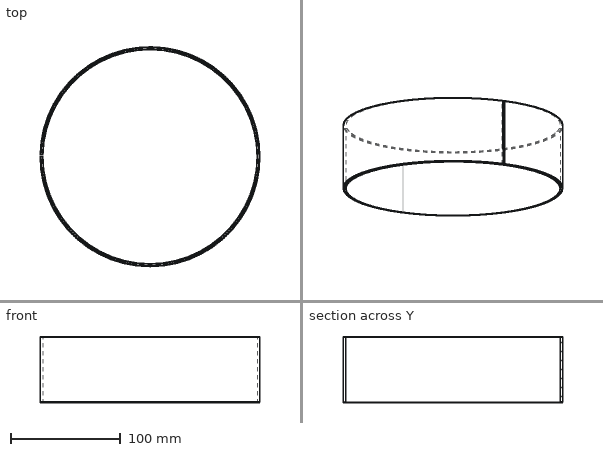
import cadquery as cq

outer_diameter = 200.0
height = 60.0
wall = 2.5
split_width = 1.5
edge_chamfer = 0.5

outer_radius = outer_diameter / 2
inner_radius = outer_radius - wall


def make_band():
    """Cylindrical band with its two outer rims chamfered."""
    outside = cq.Workplane("XY").circle(outer_radius).extrude(height)
    outside = outside.faces("<Z or >Z").edges().chamfer(edge_chamfer)
    bore = cq.Workplane("XY").circle(inner_radius).extrude(height)
    return outside.cut(bore)


def make_split():
    """Full-height cutter through the -X wall, with one face on the XZ plane and the other on the +Y side."""
    cutter = cq.Workplane("XY").box(outer_diameter, split_width, height, centered=(True, False, False))
    return cutter.translate((-outer_radius, 0, 0))


result = make_band().cut(make_split())